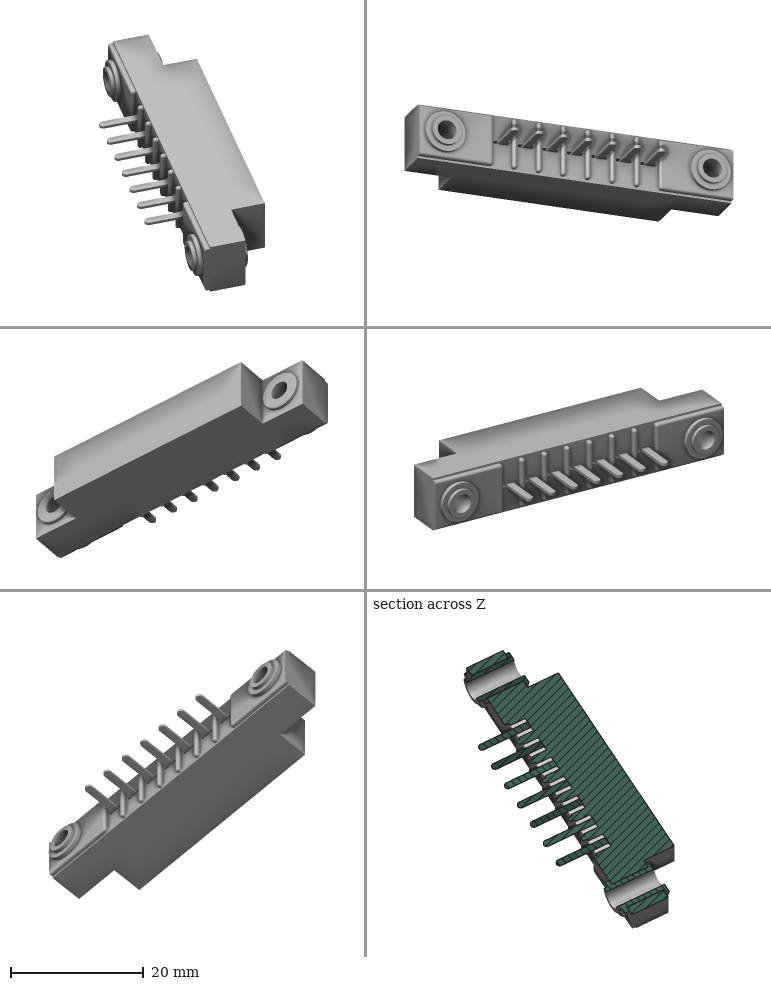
import cadquery as cq

LENGTH = 50.75
HEIGHT = 8.71
PIN_REACH = 6.22
HOUSING_DEPTH = 10.9

PIN_COUNT = 7
PITCH = 3.96
PIN_WIDTH = 1.18
PIN_THICKNESS = 0.46
SLOT_WIDTH = 2.46
SLOT_DEPTH = 2.5

CENTRE_LENGTH = 35.6
EAR_DEPTH = 5.6
RIB_WIDTH = 0.82
RIB_HEIGHT = 0.78
RIB_INSET = 0.33
RIB_CORNER_RADIUS = 0.4
RIB_EDGE_RADIUS = 0.39

BUSHING_SPACING = 42.9
BORE_DIAMETER = 3.05
SLEEVE_DIAMETER = 4.6
FLANGE_DIAMETER = 6.4
FLANGE_THICKNESS = 0.76
SLEEVE_PROJECTION = 0.58
REAR_FLANGE_THICKNESS = 0.62
FLANGE_CHAMFER = 0.12

pin_positions = [(i - (PIN_COUNT - 1) / 2) * PITCH for i in range(PIN_COUNT)]
rib_positions = [x + PITCH / 2 for x in pin_positions[:-1]]
bushing_positions = [-BUSHING_SPACING / 2, BUSHING_SPACING / 2]
foot_inner_x = PIN_COUNT * PITCH / 2 - RIB_WIDTH / 2
ridge_length = HEIGHT - 2 * RIB_INSET


def box_between(x_min, x_max, y_min, y_max, height):
    """Box between the given X and Y limits, centred on Z = 0."""
    box = cq.Workplane("XY").box(x_max - x_min, y_max - y_min, height, centered=(False, False, True))
    return box.translate((x_min, y_min, 0))


def cylinder(x, diameter, y_front, y_rear):
    """Cylinder along Y between two Y positions."""
    start = cq.Vector(x, y_front, 0)
    axis = cq.Vector(0, 1, 0)
    return cq.Workplane(cq.Solid.makeCylinder(diameter / 2, y_rear - y_front, start, axis))


def make_rib(x):
    """Thin rib between two pins, rounded at its ends and along its crest."""
    rib = box_between(x - RIB_WIDTH / 2, x + RIB_WIDTH / 2, -RIB_HEIGHT, 0, ridge_length)
    rib = rib.edges("|Y").fillet(RIB_CORNER_RADIUS)
    return rib.faces("<Y").edges().fillet(RIB_EDGE_RADIUS)


def make_foot(side):
    """Stand-off foot under one ear, flush with the end of the housing."""
    foot = box_between(foot_inner_x, LENGTH / 2, -RIB_HEIGHT, 0, ridge_length)
    foot = foot.faces("<X").edges("|Y").fillet(RIB_CORNER_RADIUS)
    foot = foot.faces("<Y").edges("not >X").fillet(RIB_EDGE_RADIUS)
    return foot if side > 0 else foot.mirror("YZ")


def make_housing():
    """Body with two ears, ribs and feet on the pin face, pin slots and bushing holes."""
    housing = box_between(-LENGTH / 2, LENGTH / 2, 0, EAR_DEPTH, HEIGHT)
    housing = housing.union(box_between(-CENTRE_LENGTH / 2, CENTRE_LENGTH / 2, 0, HOUSING_DEPTH, HEIGHT))
    for x in rib_positions:
        housing = housing.union(make_rib(x))
    for side in (-1, 1):
        housing = housing.union(make_foot(side))
    for x in pin_positions:
        slot = box_between(x - SLOT_WIDTH / 2, x + SLOT_WIDTH / 2, 0, SLOT_DEPTH, PIN_THICKNESS)
        housing = housing.cut(slot)
    for x in bushing_positions:
        housing = housing.cut(cylinder(x, SLEEVE_DIAMETER, -RIB_HEIGHT, EAR_DEPTH))
    return housing


def make_pin(x):
    """Flat pin standing on the floor of its slot, with a full-round tip."""
    half_width = PIN_WIDTH / 2
    straight_end = half_width - PIN_REACH
    outline = (
        cq.Workplane("XY", origin=(x, 0, -PIN_THICKNESS / 2))
        .moveTo(-half_width, SLOT_DEPTH)
        .lineTo(-half_width, straight_end)
        .threePointArc((0, -PIN_REACH), (half_width, straight_end))
        .lineTo(half_width, SLOT_DEPTH)
        .close()
    )
    return outline.extrude(PIN_THICKNESS)


def make_flange(x, y_front, y_rear):
    """Round flange with its rear rim chamfered."""
    flange = cylinder(x, FLANGE_DIAMETER, y_front, y_rear)
    return flange.faces(">Y").chamfer(FLANGE_CHAMFER)


def make_bushing(x):
    """Sleeve through the ear with a flange at each end, bored right through."""
    flange_front = -RIB_HEIGHT - FLANGE_THICKNESS
    sleeve_front = flange_front - SLEEVE_PROJECTION
    rear = EAR_DEPTH + REAR_FLANGE_THICKNESS
    bushing = cylinder(x, SLEEVE_DIAMETER, sleeve_front, rear)
    bushing = bushing.union(make_flange(x, flange_front, -RIB_HEIGHT))
    bushing = bushing.union(make_flange(x, EAR_DEPTH, rear))
    return bushing.cut(cylinder(x, BORE_DIAMETER, sleeve_front, rear))


housing = make_housing()
pins = [make_pin(x) for x in pin_positions]
bushings = [make_bushing(x) for x in bushing_positions]

result = cq.Compound.makeCompound([body.val() for body in [housing, *pins, *bushings]])